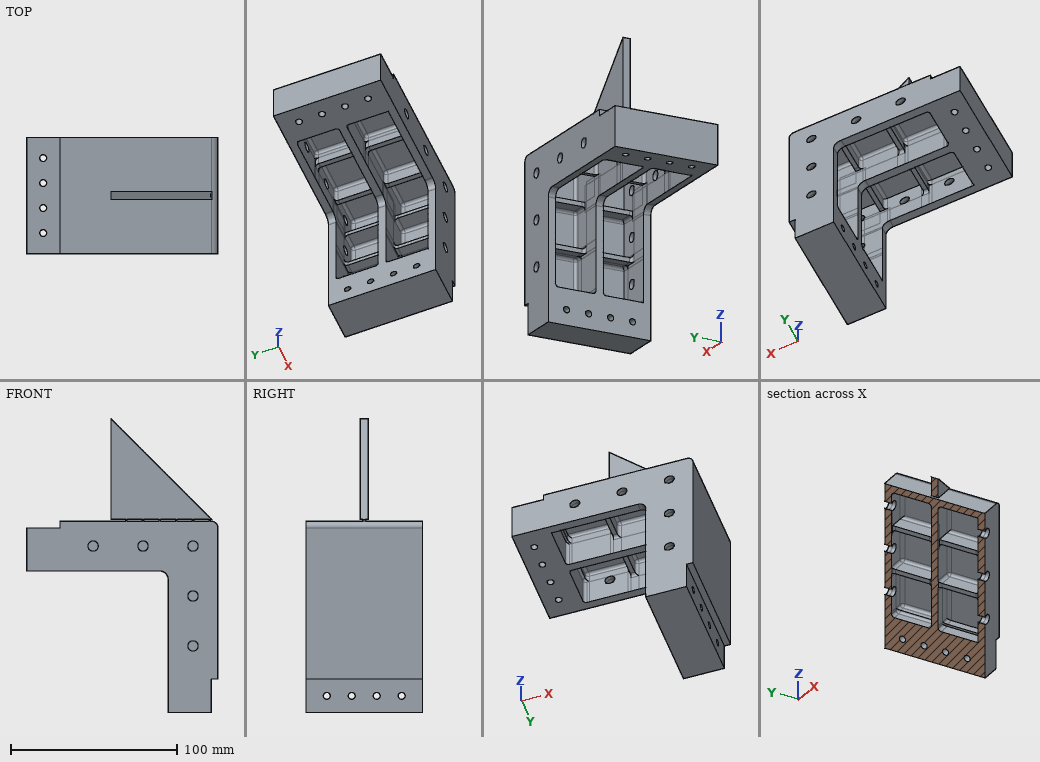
import cadquery as cq

leg_length = 115.0
leg_thickness = 30.0
body_width = 70.0
outer_corner_radius = 4.0
inner_corner_radius = 5.0
tab_length = 20.0
tab_step = 4.0
tab_start = leg_length - tab_length

tab_hole_diameter = 4.0
tab_hole_count = 4
tab_hole_pitch = 15.0

wall_thickness = 5.0
skin_thickness = 5.0
rib_setback = 16.0
step_setback = 10.0
rib_thickness = 3.0
rib_pitch = 30.0
cells_per_leg = 3
pocket_fillet = 2.0
pocket_width = (body_width - 3 * wall_thickness) / 2
pocket_offset = (pocket_width + wall_thickness) / 2
last_cell_end = cells_per_leg * rib_pitch
last_cell_start = last_cell_end - rib_pitch + rib_thickness / 2
pocket_end = last_cell_end + rib_thickness / 2

side_hole_diameter = 6.2

plate_leg = 60.6
plate_thickness = 5.0
plate_right_x = -3.7
plate_gap = 1.0
post_length = 1.0
post_width = 2.0
post_count = 6
post_pitch = 10.0
first_post_x = -5.0
post_embed = 0.2


def prism(points, width, y_center=0.0):
    """Extrude an outline in the XZ plane symmetrically about y_center."""
    outline = cq.Workplane("XZ", origin=(0, y_center, 0)).polyline(points).close()
    return outline.extrude(width / 2, both=True)


def box_between(x_range, y_range, z_range):
    """Axis-aligned box from three (low, high) pairs."""
    size = [high - low for low, high in (x_range, y_range, z_range)]
    corner = (x_range[0], y_range[0], z_range[0])
    return cq.Workplane("XY", origin=corner).box(*size, centered=False)


def swap_legs(shape):
    """Swap X and Z, which carries a feature of the -Z leg over to the -X leg."""
    return shape.rotate((0, 0, 0), (1, 0, 1), 180).mirror("XZ")


def edge_nearest(shape, point):
    """Select the edge whose middle is nearest to a point."""
    return shape.edges(cq.selectors.NearestToPointSelector(point))


def make_body():
    outline = [
        (0, 0),
        (-tab_start, 0),
        (-tab_start, -tab_step),
        (-leg_length, -tab_step),
        (-leg_length, -leg_thickness),
        (-leg_thickness, -leg_thickness),
        (-leg_thickness, -leg_length),
        (-tab_step, -leg_length),
        (-tab_step, -tab_start),
        (0, -tab_start),
    ]
    body = prism(outline, body_width)
    inner_corner = (-leg_thickness, 0, -leg_thickness)
    body = edge_nearest(body, inner_corner).fillet(inner_corner_radius)
    return edge_nearest(body, (0, 0, 0)).fillet(outer_corner_radius)


def pocket_y_range(side):
    """Y limits of the pocket on one side (-1 or 1) of the center wall."""
    y_center = side * pocket_offset
    return (y_center - pocket_width / 2, y_center + pocket_width / 2)


def pocket_box(side, depth, start, end):
    """Box cut into the -Z leg, with its floor at depth from the outer face."""
    x_range = (-leg_thickness - inner_corner_radius, -depth)
    return box_between(x_range, pocket_y_range(side), (-end, -start))


def make_corner_cell(side):
    """Square cell in the corner, where the two legs meet."""
    cell_range = (-rib_pitch + rib_thickness / 2, -skin_thickness)
    cell = box_between(cell_range, pocket_y_range(side), cell_range)
    if side > 0:
        return cell.edges(">X or >Z").fillet(pocket_fillet)
    return cell.edges("(>X or >Z) and (not <Y)").fillet(pocket_fillet)


def make_leg_cell(side, index):
    """Cell of the -Z leg, counted from the corner.

    The +Y cells are rounded all around; the -Y cells keep a sharp floor edge
    along the outer wall and, in the last cell, at the tab.
    """
    start = index * rib_pitch + rib_thickness / 2
    if index < cells_per_leg - 1:
        end = (index + 1) * rib_pitch - rib_thickness / 2
        sharp_edges = "(>X and <Y)"
    else:
        end = last_cell_end
        sharp_edges = "(>X and (<Y or <Z)) or (|X and <Y and <Z)"
    if side > 0:
        sharp_edges = "<X"
    cell = pocket_box(side, skin_thickness, start, end)
    return cell.edges(f"(|X or >X) and (not ({sharp_edges}))").fillet(pocket_fillet)


def make_rib_clearance(side):
    """Opening in front of the ribs of the -Z leg, down to their crests."""
    opening = pocket_box(side, rib_setback, rib_setback, last_cell_start)
    return opening.edges("|Z and >X").fillet(pocket_fillet)


def make_end_step(side):
    """Shallow step just past the last cell of the -Z leg."""
    step = pocket_box(side, step_setback, last_cell_start, pocket_end)
    if side > 0:
        return step.edges("(|X and <Z) or (>X and (not >Z))").fillet(pocket_fillet)
    return step.edges("(|X and >Y and <Z) or (>X and >Y)").fillet(pocket_fillet)


def cut_pockets(body, side):
    body = body.cut(make_corner_cell(side), clean=False)
    leg_cutters = [make_leg_cell(side, index) for index in range(1, cells_per_leg)]
    leg_cutters += [make_rib_clearance(side), make_end_step(side)]
    for cutter in leg_cutters:
        body = body.cut(cutter, clean=False).cut(swap_legs(cutter), clean=False)
    return body


def cut_side_holes(body):
    """Drill both side walls into every cell, leaving the center wall whole."""
    middles = [-(index + 0.5) * rib_pitch for index in range(cells_per_leg)]
    places = [(middles[0], middle) for middle in middles]
    places += [(middle, middles[0]) for middle in middles[1:]]
    for side in (-1, 1):
        wall_center = side * (body_width - wall_thickness) / 2
        drill = cq.Workplane("XZ", origin=(0, wall_center, 0)).pushPoints(places)
        drill = drill.circle(side_hole_diameter / 2).extrude(wall_thickness / 2, both=True)
        body = body.cut(drill, clean=False)
    return body


def cut_tab_holes(body):
    hole_z = -leg_length + tab_length / 2
    first_y = -(tab_hole_count - 1) * tab_hole_pitch / 2
    places = [(first_y + index * tab_hole_pitch, hole_z) for index in range(tab_hole_count)]
    drill = cq.Workplane("YZ").pushPoints(places).circle(tab_hole_diameter / 2)
    drill = drill.extrude(-leg_thickness)
    return body.cut(drill, clean=False).cut(swap_legs(drill), clean=False)


def add_plate(body):
    """Right-angled triangular plate on its posts, above the -X leg."""
    plate_left_x = plate_right_x - plate_leg
    outline = [
        (plate_right_x, plate_gap),
        (plate_left_x, plate_gap),
        (plate_left_x, plate_gap + plate_leg),
    ]
    plate = prism(outline, plate_thickness)
    y_range = (-post_width / 2, post_width / 2)
    z_range = (-post_embed, plate_gap + post_embed)
    for index in range(post_count):
        x = first_post_x - index * post_pitch
        post = box_between((x - post_length / 2, x + post_length / 2), y_range, z_range)
        plate = plate.union(post)
    return body.union(plate)


result = add_plate(make_body())
for pocket_side in (-1, 1):
    result = cut_pockets(result, pocket_side)
result = cut_side_holes(result)
result = cut_tab_holes(result)